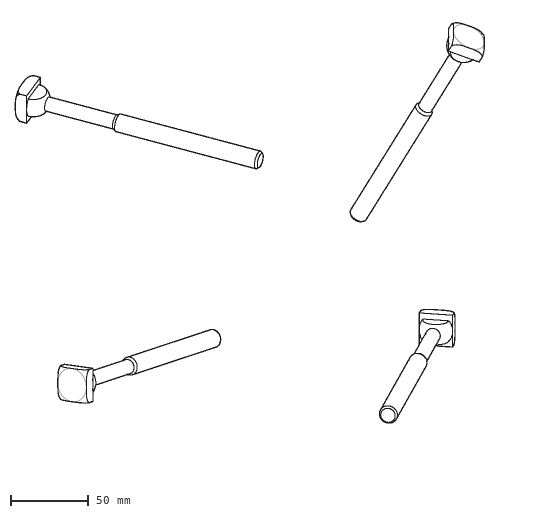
import cadquery as cq
import math

total_length = 168.0
head_width = 22.0
head_thickness = 8.0
corner_rounding = 4.7
collar_thickness = 14.0
shank_diameter = 9.5
thread_diameter = 12.0
thread_start = 67.9
end_chamfer_length = 1.5
runout_angle = math.radians(30)

head_radius = head_width / 2
shank_radius = shank_diameter / 2
thread_radius = thread_diameter / 2
runout_length = (thread_radius - shank_radius) / math.tan(runout_angle)


def make_head():
    """Square head whose outer corners are rounded around the bolt axis."""
    block = cq.Workplane("YZ").rect(head_width, head_width).extrude(head_thickness)
    rounded_disk = (
        cq.Workplane("YZ")
        .circle(head_radius + corner_rounding)
        .extrude(head_thickness)
        .faces("<X")
        .edges()
        .fillet(corner_rounding)
    )
    return block.intersect(rounded_disk)


def make_collar():
    """Half sphere behind the head, cut flat on its upper and lower sides."""
    sphere = cq.Workplane("XY").sphere(head_radius).translate((head_thickness, 0, 0))
    slab = cq.Workplane("XY").box(
        head_radius, head_width, collar_thickness, centered=(False, True, True)
    ).translate((head_thickness, 0, 0))
    return sphere.intersect(slab)


def make_shaft():
    """Plain shank, conical runout, thicker threaded length and chamfered tip."""
    profile = [
        (0, 0),
        (0, shank_radius),
        (thread_start - runout_length, shank_radius),
        (thread_start, thread_radius),
        (total_length - end_chamfer_length, thread_radius),
        (total_length, shank_radius),
        (total_length, 0),
    ]
    return cq.Workplane("XY").polyline(profile).close().revolve(360, (0, 0, 0), (1, 0, 0))


bolt = make_head().union(make_collar()).union(make_shaft())

result = bolt.translate((-total_length / 2, 0, 0))